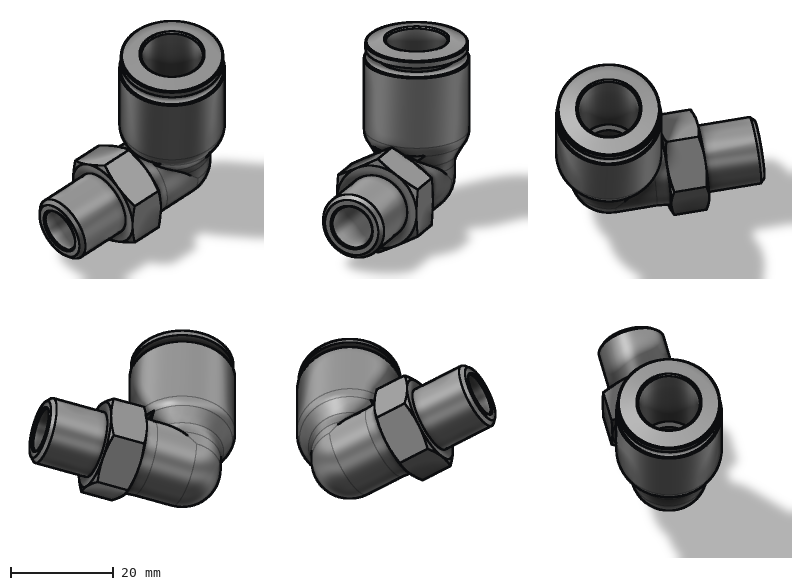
import cadquery as cq
import math


body_radius = 20.6 / 2
body_top = 24.65
body_rim_chamfer = 0.25
shoulder_top = 9.7
blend_radius = 4.0
flare_angle = math.radians(30)

collar_radius = 20.0 / 2
collar_top = 28.47
collar_edge = 27.95
collar_edge_chamfer = 0.25
collar_bottom = 26.45

elbow_radius = 15.0 / 2
sleeve_start = 8.15
sleeve_end_radius = 7.75
relief_height = 7.8

nut_start = 10.83
nut_end = 18.33
nut_corner_diameter = 19.8
nut_flats = nut_corner_diameter * math.cos(math.pi / 6)
nut_chamfer_length = 0.55

stud_end = 40.1 - body_radius
stud_radius = 13.15 / 2
stud_chamfer = 0.85

tube_radius = 12.0 / 2
tube_mouth_chamfer = 0.35
tube_stop = shoulder_top
elbow_bore_radius = 9.5 / 2
stud_bore_radius = 8.5 / 2
stud_mouth_chamfer = 0.3


def along_stud(start):
    """Workplane across the stud axis, with its normal pointing to -Y."""
    return cq.Workplane("XZ", origin=(0, -start, 0))


def stud_rod(radius, start, end):
    return along_stud(start).circle(radius).extrude(end - start)


def socket():
    """Elbow riser, flared body, neck and release collar, turned about Z."""
    blend_drop = blend_radius * math.sin(flare_angle)
    blend_inset = blend_radius * (1 - math.cos(flare_angle))
    half_drop = blend_radius * math.sin(flare_angle / 2)
    half_inset = blend_radius * (1 - math.cos(flare_angle / 2))
    flare_top_radius = body_radius - blend_inset
    flare_bottom_radius = elbow_radius + blend_inset
    flare_top = shoulder_top - blend_drop
    flare_bottom = flare_top - (flare_top_radius - flare_bottom_radius) / math.tan(flare_angle)
    riser_top = flare_bottom - blend_drop
    turned = (
        cq.Workplane("XZ")
        .lineTo(elbow_radius, 0)
        .lineTo(elbow_radius, riser_top)
        .threePointArc((elbow_radius + half_inset, riser_top + half_drop), (flare_bottom_radius, flare_bottom))
        .lineTo(flare_top_radius, flare_top)
        .threePointArc((body_radius - half_inset, shoulder_top - half_drop), (body_radius, shoulder_top))
        .lineTo(body_radius, body_top - body_rim_chamfer)
        .lineTo(body_radius - body_rim_chamfer, body_top)
        .lineTo(elbow_radius, body_top)
        .lineTo(elbow_radius, collar_bottom)
        .lineTo(collar_radius, collar_bottom)
        .lineTo(collar_radius, collar_edge - collar_edge_chamfer)
        .lineTo(collar_radius - collar_edge_chamfer, collar_edge)
        .lineTo(tube_radius + tube_mouth_chamfer, collar_top)
        .lineTo(0, collar_top)
        .close()
        .revolve(360, (0, 0), (0, 1))
    )
    relief = along_stud(sleeve_start).rect(2 * body_radius, 2 * relief_height).extrude(body_radius)
    return turned.cut(relief)


def elbow():
    """Spherical corner, horizontal leg and slightly tapered sleeve."""
    corner = cq.Workplane("XY").sphere(elbow_radius)
    leg = stud_rod(elbow_radius, 0, sleeve_start)
    sleeve = (
        along_stud(sleeve_start)
        .circle(elbow_radius)
        .workplane(offset=nut_start - sleeve_start)
        .circle(sleeve_end_radius)
        .loft()
    )
    return corner.union(leg).union(sleeve)


def nut():
    """Hexagon with corners at +Z and -Z, both ends turned down to the flats."""
    length = nut_end - nut_start
    hexagon = (
        along_stud(nut_start)
        .transformed(rotate=(0, 0, 90))
        .polygon(6, nut_corner_diameter)
        .extrude(length)
    )
    corner_depth = (nut_corner_diameter - nut_flats) / 2
    envelope = (
        stud_rod(nut_corner_diameter / 2, nut_start, nut_end)
        .edges()
        .chamfer(nut_chamfer_length, corner_depth)
    )
    return hexagon.intersect(envelope)


def stud():
    return stud_rod(stud_radius, nut_end, stud_end).faces("<Y").chamfer(stud_chamfer)


def bores():
    """Stepped passages from both mouths, joined by a sphere in the corner."""
    tube_mouth = tube_radius + tube_mouth_chamfer
    socket_bore = (
        cq.Workplane("XZ")
        .lineTo(elbow_bore_radius, 0)
        .lineTo(elbow_bore_radius, tube_stop)
        .lineTo(tube_radius, tube_stop)
        .lineTo(tube_radius, collar_top - tube_mouth_chamfer)
        .lineTo(tube_mouth, collar_top)
        .lineTo(0, collar_top)
        .close()
        .revolve(360, (0, 0), (0, 1))
    )
    stud_mouth = stud_bore_radius + stud_mouth_chamfer
    stud_bore = (
        cq.Workplane("XY")
        .lineTo(elbow_bore_radius, 0)
        .lineTo(elbow_bore_radius, -nut_start)
        .lineTo(stud_bore_radius, -nut_start)
        .lineTo(stud_bore_radius, stud_mouth_chamfer - stud_end)
        .lineTo(stud_mouth, -stud_end)
        .lineTo(0, -stud_end)
        .close()
        .revolve(360, (0, 0), (0, 1))
    )
    corner = cq.Workplane("XY").sphere(elbow_bore_radius)
    return socket_bore.union(stud_bore).union(corner)


result = socket().union(elbow()).union(nut()).union(stud()).cut(bores())